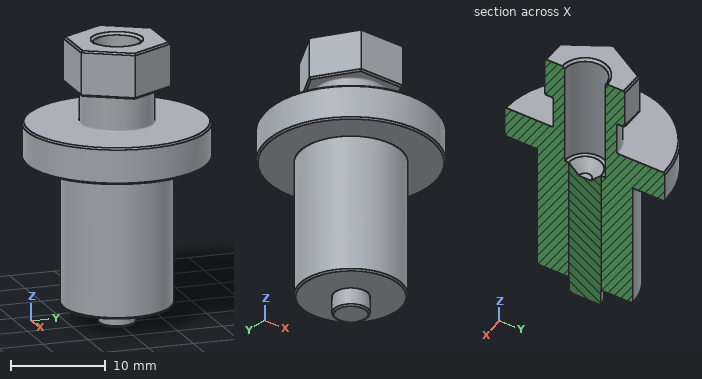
import cadquery as cq

total_height = 31.1
hex_height = 5.0
neck_height = 4.0
flange_height = 4.0
barrel_height = 16.0
pin_projection = total_height - hex_height - neck_height - flange_height - barrel_height

flange_top = pin_projection + barrel_height + flange_height
hex_bottom = flange_top + neck_height

hex_across_flats = 10.0
neck_diameter = 8.0
flange_diameter = 20.0
barrel_diameter = 12.0
bore_diameter = 5.0
pin_diameter = 4.0

edge_chamfer = 0.2
neck_corner_radius = 0.2
bore_chamfer = 0.28

bore_floor = pin_projection + barrel_height

recess_floor_diameter = 1.5
recess_depth = (pin_diameter - recess_floor_diameter) / 2


def cylinder(diameter, bottom, height):
    """Solid cylinder on the Z axis."""
    return cq.Workplane("XY").workplane(offset=bottom).circle(diameter / 2).extrude(height)


def make_hex_head():
    """Hexagon with corners on the X axis, chamfered around both ends."""
    return (
        cq.Workplane("XY")
        .workplane(offset=hex_bottom)
        .transformed(rotate=(0, 0, 30))
        .polygon(6, hex_across_flats, circumscribed=True)
        .extrude(hex_height)
        .faces("<Z or >Z")
        .edges()
        .chamfer(edge_chamfer)
    )


def neck_corners_box():
    """Selector enclosing only the neck's end circles."""
    reach = neck_diameter / 2 + edge_chamfer
    return cq.selectors.BoxSelector(
        (-reach, -reach, flange_top - edge_chamfer / 2),
        (reach, reach, hex_bottom + edge_chamfer / 2),
        boundingbox=True,
    )


def make_housing():
    """Barrel, flange, neck and hexagon head with a stepped hole right through."""
    barrel = cylinder(barrel_diameter, pin_projection, barrel_height)
    barrel = barrel.faces("<Z").edges().chamfer(edge_chamfer)

    flange = cylinder(flange_diameter, bore_floor, flange_height)
    flange = flange.edges().chamfer(edge_chamfer)

    neck = cylinder(neck_diameter, flange_top, neck_height)
    housing = barrel.union(flange).union(neck).union(make_hex_head())

    housing = housing.edges("%CIRCLE").edges(neck_corners_box()).fillet(neck_corner_radius)

    bore = cylinder(bore_diameter, bore_floor, total_height - bore_floor)
    pin_hole = cylinder(pin_diameter, pin_projection, barrel_height)
    housing = housing.cut(bore).cut(pin_hole)
    return housing.faces(">Z").edges("%CIRCLE").chamfer(bore_chamfer)


def make_pin():
    """Pin filling the narrow hole, its tip chamfered and its inner end hollowed by a cone."""
    pin = cylinder(pin_diameter, 0, bore_floor).faces("<Z").edges().chamfer(edge_chamfer)
    recess = (
        cq.Workplane("XY")
        .workplane(offset=bore_floor - recess_depth)
        .circle(recess_floor_diameter / 2)
        .workplane(offset=recess_depth)
        .circle(pin_diameter / 2)
        .loft(ruled=True)
    )
    return pin.cut(recess)


housing = make_housing()
pin = make_pin()

result = cq.Compound.makeCompound([housing.solids().val(), pin.solids().val()])